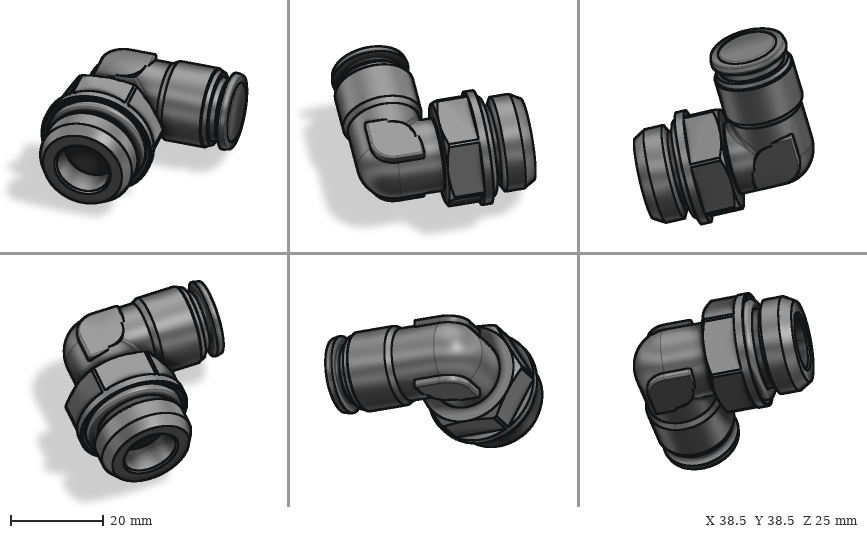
import cadquery as cq
import math


elbow_radius = 7.98
elbow_bottom_y = -10.0
elbow_rim_height = 0.27
elbow_rim_inset = 0.15
crotch_fillet = 1.25

pad_half_width = 5.0
pad_reach = 6.05
pad_rounding = 0.5

cone_start_x = 10.0
collar_start_x = 11.37
collar_end_x = 20.1
cap_start_x = 20.3
cap_end_x = 21.47
nose_taper_x = 21.6
nose_end_x = 22.9
collar_radius = 8.75
cap_radius = 8.52
cap_end_radius = 8.1
nose_radius = 7.2
nose_end_radius = 6.75

hex_top_y = -10.25
hex_bottom_y = -17.77
flange_bottom_y = -19.75
groove_bottom_y = -22.32
shank_top_y = -23.25
shank_bottom_y = -27.3
stud_end_y = -29.8
neck_radius = 6.6
flange_radius = 12.5
groove_radius = 8.75
shank_radius = 10.45
stud_end_radius = 9.0
hex_across_flats = 21.97
hex_chamfer_angle = 30.0

seal_section_radius = 1.25
seal_outer_radius = 11.15
seal_bottom_y = -21.13
seat_mouth_radius = 12.0
seat_depth = 0.85

bore_radius = 5.98
bore_chamfer = 0.45
bore_depth = 6.55

flange_start_x = 24.0
flange_taper_x = 24.5
flange_end_x = 25.67
sleeve_end_x = 26.02
sleeve_radius = 6.0
sleeve_flange_radius = 8.5
sleeve_flange_end_radius = 8.25
sleeve_flange_rounding = 0.25
sleeve_fillet = 0.45
rim_radius = 6.55
rim_end_radius = 6.1
rim_rounding = 0.5


def revolve_about_y(profile):
    return profile.close().revolve(360, (0, 0, 0), (0, 1, 0))


def revolve_about_x(profile):
    return profile.close().revolve(360, (0, 0, 0), (1, 0, 0))


def make_elbow():
    """Ball-cornered elbow: a sphere with an arm of the same radius along +X and along -Y."""
    corner = cq.Workplane("XY").sphere(elbow_radius)
    tube_arm = cq.Workplane("YZ").circle(elbow_radius).extrude(cone_start_x)
    stud_arm = revolve_about_y(
        cq.Workplane("XY")
        .lineTo(-elbow_radius, 0)
        .lineTo(-elbow_radius, elbow_bottom_y + elbow_rim_height)
        .lineTo(elbow_rim_inset - elbow_radius, elbow_bottom_y)
        .lineTo(0, elbow_bottom_y)
    )
    return corner.union(tube_arm).union(stud_arm)


def make_pad():
    """Upper marking pad, flush with the crest of the elbow and rounded along its outer edges."""
    block = (
        cq.Workplane("XY")
        .moveTo(-pad_half_width, -pad_reach)
        .lineTo(-pad_half_width, 0)
        .radiusArc((0, pad_half_width), pad_half_width)
        .lineTo(pad_reach, pad_half_width)
        .lineTo(pad_reach, -pad_reach)
        .close()
        .extrude(elbow_radius)
    )
    block = block.edges("|Z").edges(">(1, 1, 0) or <(1, 1, 0)").fillet(pad_rounding)
    block = block.faces(">Z").edges().fillet(pad_rounding)
    inner_corner = (
        cq.Workplane("XY")
        .moveTo(pad_half_width, 0)
        .radiusArc((0, -pad_half_width), pad_half_width)
        .lineTo(0, -2 * pad_reach)
        .lineTo(2 * pad_reach, -2 * pad_reach)
        .lineTo(2 * pad_reach, 0)
        .close()
        .extrude(elbow_radius)
    )
    return block.cut(inner_corner)


def round_crotch(elbow):
    """Fillet the edge where the two arms meet on the inside of the bend."""
    return elbow.edges("%ELLIPSE").fillet(crotch_fillet)


def make_collar():
    """Stepped collar round the tube port: widening cone, barrel, tapered cap and tapered nose."""
    return revolve_about_x(
        cq.Workplane("XY")
        .moveTo(cone_start_x, 0)
        .lineTo(cone_start_x, elbow_radius)
        .lineTo(collar_start_x, collar_radius)
        .lineTo(collar_end_x, collar_radius)
        .lineTo(cap_start_x, cap_radius)
        .lineTo(cap_end_x, cap_end_radius)
        .lineTo(cap_end_x, nose_radius)
        .lineTo(nose_taper_x, nose_radius)
        .lineTo(nose_end_x, nose_end_radius)
        .lineTo(nose_end_x, 0)
    )


def make_hex():
    """Hexagon with two flats facing +Z and -Z, its corners turned to the flange and chamfered on top."""
    height = hex_top_y - hex_bottom_y
    corner_diameter = hex_across_flats / math.cos(math.pi / 6)
    prism = (
        cq.Workplane("XZ", origin=(0, hex_top_y, 0))
        .polygon(6, corner_diameter)
        .extrude(height)
    )
    flat_radius = hex_across_flats / 2
    chamfer_drop = (flange_radius - flat_radius) * math.tan(math.radians(hex_chamfer_angle))
    turned = revolve_about_y(
        cq.Workplane("XY")
        .moveTo(0, hex_top_y)
        .lineTo(flat_radius, hex_top_y)
        .lineTo(flange_radius, hex_top_y - chamfer_drop)
        .lineTo(flange_radius, hex_bottom_y)
        .lineTo(0, hex_bottom_y)
    )
    return prism.intersect(turned)


def make_neck():
    """Short neck bridging the gap between the elbow and the hexagon."""
    gap = elbow_bottom_y - hex_top_y
    return cq.Workplane("XZ", origin=(0, elbow_bottom_y, 0)).circle(neck_radius).extrude(gap)


def make_stud():
    """Flange with the sealing ring in its flared seat, undercut and screw-in shank."""
    seal_centre_radius = seal_outer_radius - seal_section_radius
    seal_centre_y = seal_bottom_y + seal_section_radius
    seat_floor_y = flange_bottom_y + seat_depth
    floor_offset = math.sqrt(seal_section_radius**2 - (seat_floor_y - seal_centre_y) ** 2)
    wall_offset = math.sqrt(seal_section_radius**2 - (seal_centre_radius - groove_radius) ** 2)
    return revolve_about_y(
        cq.Workplane("XY")
        .moveTo(0, hex_bottom_y)
        .lineTo(flange_radius, hex_bottom_y)
        .lineTo(flange_radius, flange_bottom_y)
        .lineTo(seat_mouth_radius, flange_bottom_y)
        .lineTo(seat_mouth_radius - seat_depth, seat_floor_y)
        .lineTo(seal_centre_radius + floor_offset, seat_floor_y)
        .threePointArc((seal_centre_radius, seal_bottom_y), (groove_radius, seal_centre_y - wall_offset))
        .lineTo(groove_radius, groove_bottom_y)
        .lineTo(shank_radius, shank_top_y)
        .lineTo(shank_radius, shank_bottom_y)
        .lineTo(stud_end_radius, stud_end_y)
        .lineTo(0, stud_end_y)
    )


def make_bore():
    """Blind bore of the stud with a chamfered mouth."""
    return revolve_about_y(
        cq.Workplane("XY")
        .moveTo(0, stud_end_y)
        .lineTo(bore_radius + bore_chamfer, stud_end_y)
        .lineTo(bore_radius, stud_end_y + bore_chamfer)
        .lineTo(bore_radius, stud_end_y + bore_depth)
        .lineTo(0, stud_end_y + bore_depth)
    )


def make_fitting():
    upper_pad = make_pad()
    lower_pad = upper_pad.mirror("XY")
    elbow = round_crotch(make_elbow().union(upper_pad).union(lower_pad))
    fitting = elbow.union(make_collar()).union(make_neck()).union(make_hex()).union(make_stud())
    return fitting.cut(make_bore())


def make_release_sleeve():
    """Flanged sleeve standing on the nose of the collar."""
    return revolve_about_x(
        cq.Workplane("XY")
        .moveTo(nose_end_x, 0)
        .lineTo(nose_end_x, sleeve_radius)
        .lineTo(flange_start_x - sleeve_fillet, sleeve_radius)
        .radiusArc((flange_start_x, sleeve_radius + sleeve_fillet), -sleeve_fillet)
        .lineTo(flange_start_x, sleeve_flange_radius)
        .lineTo(flange_taper_x, sleeve_flange_radius)
        .lineTo(flange_end_x - sleeve_flange_rounding, sleeve_flange_end_radius)
        .radiusArc((flange_end_x, sleeve_flange_end_radius - sleeve_flange_rounding), sleeve_flange_rounding)
        .lineTo(flange_end_x, rim_radius)
        .radiusArc((sleeve_end_x, rim_end_radius), rim_rounding)
        .lineTo(sleeve_end_x, 0)
    )


fitting = make_fitting()
release_sleeve = make_release_sleeve()

result = cq.Compound.makeCompound([fitting.val(), release_sleeve.val()])